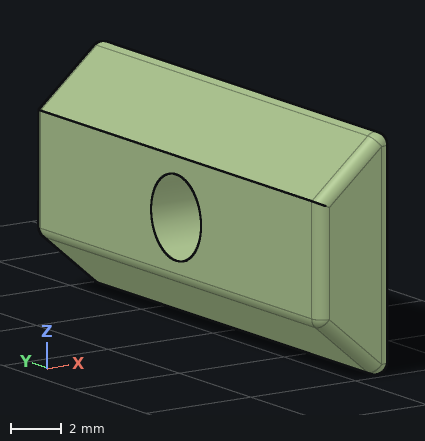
import cadquery as cq

length = 20.0
thickness = 3.5
narrow_width = 5.0
wide_width = 11.0
edge_radius = 0.5
hole_diameter = 3.5

narrow_x = -thickness / 2
wide_x = thickness / 2


def trapezoid_bar():
    """Trapezoidal prism with its narrow face toward -X."""
    profile = [
        (narrow_x, -narrow_width / 2),
        (wide_x, -wide_width / 2),
        (wide_x, wide_width / 2),
        (narrow_x, narrow_width / 2),
    ]
    return cq.Workplane("XZ").polyline(profile).close().extrude(length / 2, both=True)


def round_edges(bar):
    """Round every edge except the upper long edge of the narrow face."""
    sharp_edge = cq.selectors.NearestToPointSelector((narrow_x, 0, narrow_width / 2))
    all_edges = cq.selectors.StringSyntaxSelector("%LINE")
    rounded_edges = cq.selectors.SubtractSelector(all_edges, sharp_edge)
    return bar.edges(rounded_edges).fillet(edge_radius)


def through_hole():
    """Round cutter along X through the middle of the bar."""
    return cq.Workplane("YZ", origin=(narrow_x, 0, 0)).circle(hole_diameter / 2).extrude(thickness)


result = round_edges(trapezoid_bar()).cut(through_hole())